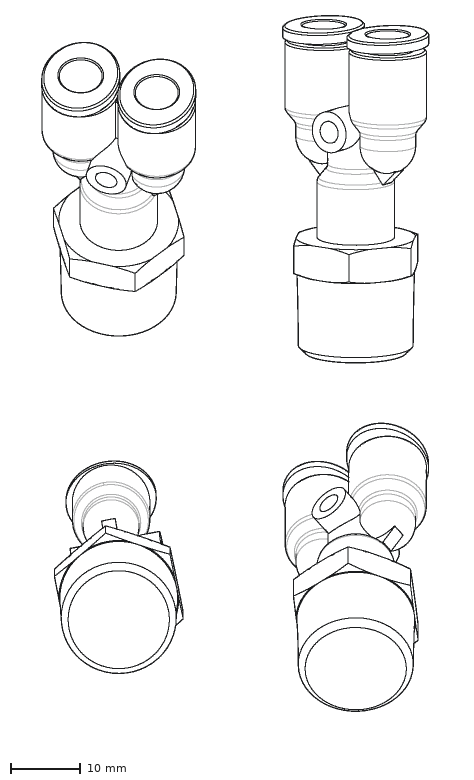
import cadquery as cq
import math

TOTAL_HEIGHT = 47.65
TOTAL_WIDTH = 22.6
BRANCH_GAP = 0.2
TUBE_RADIUS = (TOTAL_WIDTH - BRANCH_GAP) / 4
NECK_RADIUS = 4.05
SHOULDER_HEIGHT = 1.9
SHOULDER_FILLET = 1.0
EDGE_CHAMFER = 0.3

THREAD_HEIGHT = 12.0
THREAD_TOP_RADIUS = 8.5
THREAD_BOTTOM_RADIUS = 8.3
THREAD_CHAMFER = 1.0

HEX_SIDES = 6
HEX_ACROSS_FLATS = 17.0
HEX_HEIGHT = 5.0
HEX_FACE_RADIUS = 8.65
HEX_CHAMFER_ANGLE = 22.0

STEM_SHOULDER_Z = 25.55
STEM_TOP_Z = 33.5

BRANCH_OFFSET = TUBE_RADIUS + BRANCH_GAP / 2
BODY_TOP_Z = 45.3
BODY_SHOULDER_Z = 35.1
SPHERE_Z = 31.2

COLLAR_RADIUS = 3.75
FLANGE_HEIGHT = 1.6
FLANGE_HALF_WIDTH = 5.55
FLANGE_HALF_LENGTH = 6.55
BORE_RADIUS = 3.1
BORE_DEPTH = 15.0
BORE_CHAMFER = 0.2

BOSS_Z = 33.6
BOSS_RADIUS = 3.0
BOSS_LENGTH = 2 * FLANGE_HALF_LENGTH
BOSS_HOLE_RADIUS = 1.6

WEB_THICKNESS = 2.0
WEB_TOP_Z = 44.6
WEB_REACH = 2.15


def cylinder(radius, bottom, top):
    return cq.Workplane("XY").workplane(offset=bottom).circle(radius).extrude(top - bottom)


def revolve_profile(points):
    """Revolve a closed (radius, height) outline about the Z axis."""
    return cq.Workplane("XZ").polyline(points).close().revolve(360, (0, 0), (0, 1))


def circle_edges_at(solid, height):
    """Edges lying in the horizontal plane at the given height."""
    reach = TOTAL_WIDTH
    tolerance = 0.01
    low = (-reach, -reach, height - tolerance)
    high = (reach, reach, height + tolerance)
    return solid.edges(cq.selectors.BoxSelector(low, high, boundingbox=True))


def fillet_shoulder(solid, lower_z):
    for height in (lower_z, lower_z + SHOULDER_HEIGHT):
        solid = circle_edges_at(solid, height).fillet(SHOULDER_FILLET)
    return solid


def make_thread():
    return revolve_profile([
        (0, 0),
        (THREAD_BOTTOM_RADIUS - THREAD_CHAMFER, 0),
        (THREAD_BOTTOM_RADIUS, THREAD_CHAMFER),
        (THREAD_TOP_RADIUS, THREAD_HEIGHT),
        (0, THREAD_HEIGHT),
    ])


def make_hexagon():
    bottom = THREAD_HEIGHT
    top = bottom + HEX_HEIGHT
    corner_diameter = HEX_ACROSS_FLATS / math.cos(math.pi / HEX_SIDES)
    prism = cq.Workplane("XY").workplane(offset=bottom).polygon(HEX_SIDES, corner_diameter).extrude(HEX_HEIGHT)
    outer_radius = corner_diameter / 2
    drop = (outer_radius - HEX_FACE_RADIUS) * math.tan(math.radians(HEX_CHAMFER_ANGLE))
    envelope = revolve_profile([
        (0, bottom),
        (HEX_FACE_RADIUS, bottom),
        (outer_radius, bottom + drop),
        (outer_radius, top - drop),
        (HEX_FACE_RADIUS, top),
        (0, top),
    ])
    return prism.intersect(envelope)


def make_stem():
    stem = revolve_profile([
        (0, THREAD_HEIGHT),
        (TUBE_RADIUS, THREAD_HEIGHT),
        (TUBE_RADIUS, STEM_SHOULDER_Z),
        (NECK_RADIUS, STEM_SHOULDER_Z + SHOULDER_HEIGHT),
        (NECK_RADIUS, STEM_TOP_Z),
        (0, STEM_TOP_Z),
    ])
    return fillet_shoulder(stem, STEM_SHOULDER_Z)


def make_branch():
    """Branch on the Z axis: body, shoulder, neck with a round end, collar and flange."""
    neck_top = BODY_SHOULDER_Z - SHOULDER_HEIGHT
    body = revolve_profile([
        (0, SPHERE_Z),
        (NECK_RADIUS, SPHERE_Z),
        (NECK_RADIUS, neck_top),
        (TUBE_RADIUS, BODY_SHOULDER_Z),
        (TUBE_RADIUS, BODY_TOP_Z - EDGE_CHAMFER),
        (TUBE_RADIUS - EDGE_CHAMFER, BODY_TOP_Z),
        (0, BODY_TOP_Z),
    ])
    body = fillet_shoulder(body, neck_top)
    round_end = cq.Workplane("XY").sphere(NECK_RADIUS).translate((0, 0, SPHERE_Z))
    collar = cylinder(COLLAR_RADIUS, BODY_TOP_Z, TOTAL_HEIGHT)
    flange = (
        cq.Workplane("XY")
        .workplane(offset=TOTAL_HEIGHT - FLANGE_HEIGHT)
        .ellipse(FLANGE_HALF_WIDTH, FLANGE_HALF_LENGTH)
        .extrude(FLANGE_HEIGHT)
        .faces(">Z")
        .edges()
        .chamfer(EDGE_CHAMFER)
    )
    return body.union(round_end).union(collar).union(flange)


def make_bore():
    return revolve_profile([
        (0, TOTAL_HEIGHT - BORE_DEPTH),
        (BORE_RADIUS, TOTAL_HEIGHT - BORE_DEPTH),
        (BORE_RADIUS, TOTAL_HEIGHT - BORE_CHAMFER),
        (BORE_RADIUS + BORE_CHAMFER, TOTAL_HEIGHT),
        (0, TOTAL_HEIGHT),
    ])


def cross_cylinder(radius):
    """Cylinder along Y through the fork, centred on the part."""
    return (
        cq.Workplane("XZ", origin=(0, 0, BOSS_Z))
        .circle(radius)
        .extrude(BOSS_LENGTH / 2, both=True)
    )


def make_web():
    """Central plate from the stem shoulder, 45 degrees out to the round ends and up the fork."""
    half_outline = [
        (TUBE_RADIUS, STEM_SHOULDER_Z),
        (TUBE_RADIUS + WEB_REACH, STEM_SHOULDER_Z + WEB_REACH),
        (BRANCH_OFFSET, SPHERE_Z),
        (BRANCH_OFFSET, WEB_TOP_Z),
    ]
    mirrored = [(-x, z) for x, z in reversed(half_outline)]
    return (
        cq.Workplane("XZ")
        .polyline(half_outline + mirrored)
        .close()
        .extrude(WEB_THICKNESS / 2, both=True)
    )


branch_places = [(-BRANCH_OFFSET, 0, 0), (BRANCH_OFFSET, 0, 0)]

result = make_thread().union(make_hexagon()).union(make_stem()).union(make_web())
for place in branch_places:
    result = result.union(make_branch().translate(place))
result = result.union(cross_cylinder(BOSS_RADIUS))
for place in branch_places:
    result = result.cut(make_bore().translate(place))
result = result.cut(cross_cylinder(BOSS_HOLE_RADIUS))